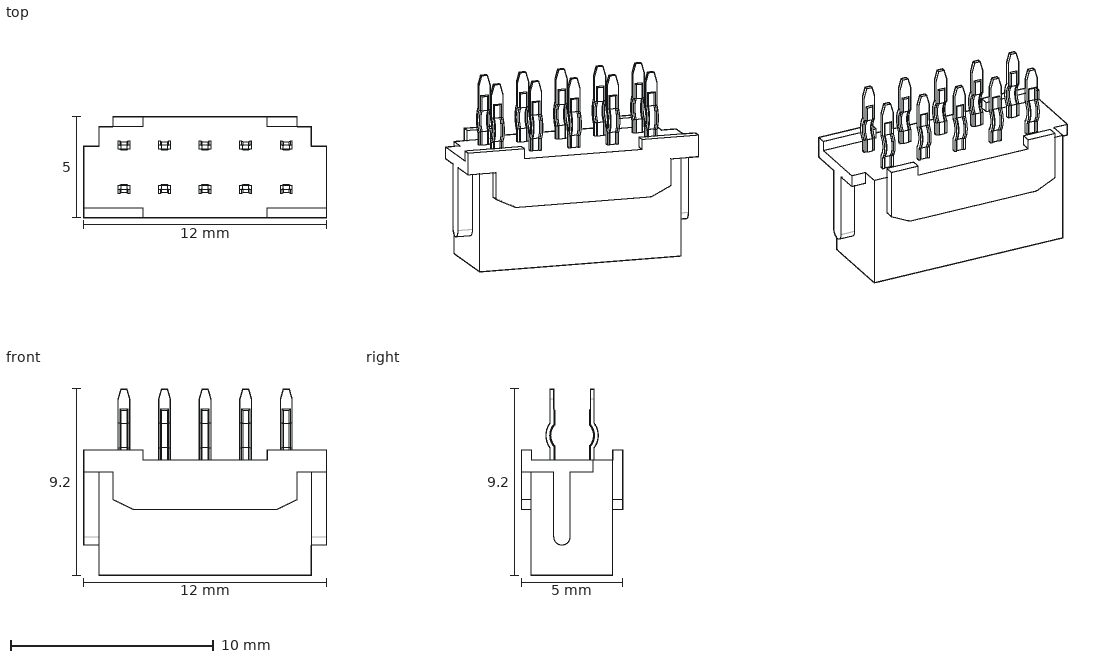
import cadquery as cq
import math

housing_length = 10.49
housing_front = -2.04
housing_back = 2.0
housing_top = 5.7

overall_length = 12.0
overall_width = 5.0
flange_thickness = 0.6
flange_back = 1.05
tongue_width = 0.8
tongue_centre_y = -0.5
tongue_bottom = 1.5

plate_length = 9.1
plate_flat_length = 7.05
plate_shoulder = 3.75
plate_bottom = 3.25
tab_height = 0.5
tab_gap = 6.12

overall_height = 9.2
pin_columns = 5
pin_pitch = 2.0
row_spacing = 1.99
pin_width = 0.59
pin_thickness = 0.19
pin_root = 0.12
tip_width = 0.3
tip_height = 0.5

bend_centre = 6.91
bend_half_height = 0.61
bend_depth = 0.2

rib_depth = 0.05
rib_width = 0.41
rib_floor_width = 0.29
rib_end_slope = 0.06
rib_top = overall_height - 1.0
groove_clearance = 0.12

flange_bottom = housing_top - flange_thickness
tab_top = housing_top + tab_height
plate_thickness = overall_width / 2 - housing_back
pin_bottom = housing_top - pin_root
pin_face = (row_spacing + pin_thickness) / 2
bend_radius = (bend_half_height**2 + bend_depth**2) / (2 * bend_depth)
bend_axis = pin_face + bend_depth - bend_radius


def box_between(x_range, y_range, z_range):
    """Axis-aligned box from (low, high) pairs."""
    lows, highs = zip(x_range, y_range, z_range)
    sizes = [high - low for low, high in zip(lows, highs)]
    return cq.Workplane("XY").box(*sizes, centered=False).translate(lows)


def end_flange_and_tongues():
    """Plate across the housing top with a round-ended tongue hanging below each end."""
    half_length = overall_length / 2
    flange = box_between(
        (-half_length, half_length), (-overall_width / 2, flange_back), (flange_bottom, housing_top)
    )
    half_width = tongue_width / 2
    tongues = (
        cq.Workplane("YZ", origin=(-half_length, tongue_centre_y, 0))
        .moveTo(-half_width, flange_bottom)
        .lineTo(-half_width, tongue_bottom + half_width)
        .threePointArc((0, tongue_bottom), (half_width, tongue_bottom + half_width))
        .lineTo(half_width, flange_bottom)
        .close()
        .extrude(overall_length)
    )
    return flange.union(tongues)


def side_plate(inner_y, tab_length):
    """Bevelled plate starting at inner_y, with tabs of total span tab_length above it."""
    y_range = (inner_y, inner_y + plate_thickness)
    half_length = plate_length / 2
    half_flat = plate_flat_length / 2
    plate = (
        cq.Workplane("XZ", origin=(0, y_range[1], 0))
        .polyline([
            (-half_length, housing_top),
            (-half_length, plate_shoulder),
            (-half_flat, plate_bottom),
            (half_flat, plate_bottom),
            (half_length, plate_shoulder),
            (half_length, housing_top),
        ])
        .close()
        .extrude(plate_thickness)
    )
    inner_x = tab_gap / 2
    outer_x = tab_length / 2
    for x_range in ((-outer_x, -inner_x), (inner_x, outer_x)):
        plate = plate.union(box_between(x_range, y_range, (flange_bottom, tab_top)))
    return plate


def bent_strip(workplane, outer_depth, inner_depth, outer_top, inner_top):
    """Outline of a bent strip between two depths measured inward from the pin's outer face."""

    def bend(depth):
        face = pin_face - depth
        radius = bend_radius - depth
        half_height = math.sqrt(radius**2 - (face - bend_axis) ** 2)
        return face, bend_axis + radius, half_height

    outer_face, outer_apex, outer_half = bend(outer_depth)
    inner_face, inner_apex, inner_half = bend(inner_depth)
    return (
        workplane.moveTo(outer_face, pin_bottom)
        .lineTo(outer_face, bend_centre - outer_half)
        .threePointArc((outer_apex, bend_centre), (outer_face, bend_centre + outer_half))
        .lineTo(outer_face, outer_top)
        .lineTo(inner_face, inner_top)
        .lineTo(inner_face, bend_centre + inner_half)
        .threePointArc((inner_apex, bend_centre), (inner_face, bend_centre - inner_half))
        .lineTo(inner_face, pin_bottom)
        .close()
    )


def rib_solid(outer_depth, edge_depth):
    """Rib reaching rib_depth beyond edge_depth, with sloped sides and a sloped top end."""
    floor_depth = edge_depth + rib_depth
    floor_top = rib_top - rib_end_slope
    outer_top = rib_top + (edge_depth - outer_depth) * rib_end_slope / rib_depth
    side_slope = (rib_width - rib_floor_width) / 2

    floor_start = cq.Workplane("YZ", origin=(-rib_floor_width / 2, 0, 0))
    floor = bent_strip(floor_start, outer_depth, floor_depth, outer_top, floor_top)
    floor = floor.extrude(rib_floor_width)

    flank_start = cq.Workplane("YZ", origin=(rib_floor_width / 2, 0, 0))
    flank = bent_strip(flank_start, outer_depth, floor_depth, outer_top, floor_top)
    flank_end = flank.workplane(offset=side_slope)
    flank = bent_strip(flank_end, outer_depth, edge_depth, outer_top, rib_top).loft(ruled=True)
    return floor.union(flank).union(flank.mirror("YZ"))


def pin():
    """Pin of the back row, centred on X = 0 and bulging toward +Y."""
    half_width = pin_width / 2
    half_tip = tip_width / 2
    strip_start = cq.Workplane("YZ", origin=(-half_width, 0, 0))
    blade = bent_strip(strip_start, 0, pin_thickness, overall_height, overall_height)
    blade = blade.extrude(pin_width)
    silhouette = (
        cq.Workplane("XZ")
        .polyline([
            (-half_width, pin_bottom),
            (-half_width, overall_height - tip_height),
            (-half_tip, overall_height),
            (half_tip, overall_height),
            (half_width, overall_height - tip_height),
            (half_width, pin_bottom),
        ])
        .close()
        .extrude(-overall_width)
    )
    ridge = rib_solid(pin_thickness / 2, pin_thickness)
    groove = rib_solid(-groove_clearance, 0)
    return blade.intersect(silhouette).union(ridge).cut(groove)


housing = box_between(
    (-housing_length / 2, housing_length / 2), (housing_front, housing_back), (0, housing_top)
)
result = housing.union(end_flange_and_tongues())

front_plate = side_plate(-overall_width / 2, overall_length)
back_plate = side_plate(housing_back, plate_length)
result = result.union(front_plate).union(back_plate)

back_pin = pin()
front_pin = back_pin.mirror("XZ")
for column in range(pin_columns):
    pin_x = (column - (pin_columns - 1) / 2) * pin_pitch
    for row_pin in (back_pin, front_pin):
        result = result.union(row_pin.translate((pin_x, 0, 0)))